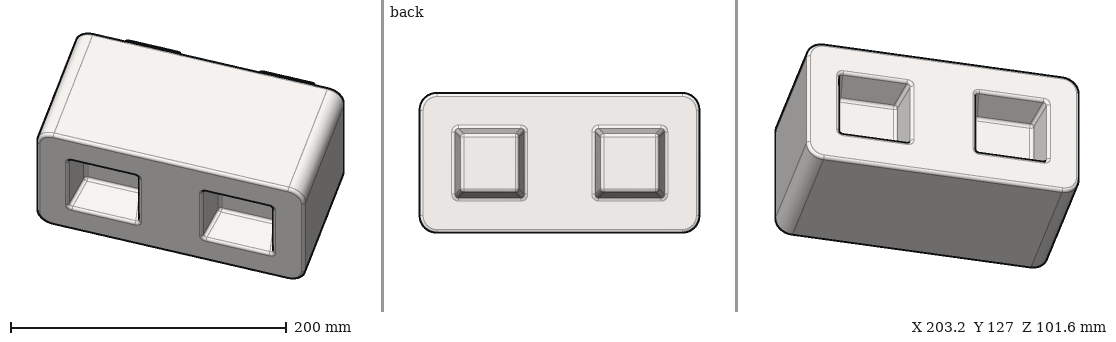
import cadquery as cq
import math

INCH = 25.4

body_width = 8 * INCH
body_depth = 4 * INCH
body_height = 4 * INCH
body_corner_radius = INCH / 2
edge_radius = INCH / 10

stud_pitch = 4 * INCH
stud_base_size = 2 * INCH
stud_length = INCH
draft_angle = 10

clearance = INCH / 20
pocket_depth = stud_length + clearance
pocket_mouth_size = stud_base_size + 2 * clearance / math.cos(math.radians(draft_angle))

stud_centers = [-stud_pitch / 2, stud_pitch / 2]


def make_body():
    """Rounded block with its front face on the XZ plane, extending toward +Y."""
    block = cq.Workplane("XY").box(
        body_width, body_depth, body_height, centered=(True, False, True)
    )
    block = block.edges("|Y").fillet(body_corner_radius)
    return block.faces("<Y or >Y").edges().fillet(edge_radius)


def make_tapered_peg(base_size, length, center_x, base_y):
    """Square peg narrowing toward +Y, with its corners and tip edges rounded."""
    base_plane = cq.Plane(origin=(center_x, base_y, 0), xDir=(-1, 0, 0), normal=(0, 1, 0))
    peg = cq.Workplane(base_plane).rect(base_size, base_size).extrude(length, taper=draft_angle)
    peg = peg.edges("not(#Y)").fillet(edge_radius)
    return peg.faces(">Y").edges().fillet(edge_radius)


def junction_edges(solid, face_y, size):
    """Edges in the plane y = face_y where a peg or pocket of the given size meets the body."""
    half_slab = edge_radius / 10
    selection = None
    for center_x in stud_centers:
        low = (center_x - size / 2 - edge_radius, face_y - half_slab, -size / 2 - edge_radius)
        high = (center_x + size / 2 + edge_radius, face_y + half_slab, size / 2 + edge_radius)
        box = cq.selectors.BoxSelector(low, high)
        selection = box if selection is None else selection + box
    return solid.edges(selection)


def add_studs(solid):
    """Join the studs to the back face and blend their roots."""
    for center_x in stud_centers:
        solid = solid.union(make_tapered_peg(stud_base_size, stud_length, center_x, body_depth))
    return junction_edges(solid, body_depth, stud_base_size).fillet(edge_radius)


def cut_pockets(solid):
    """Sink the pockets into the front face and round their rims."""
    for center_x in stud_centers:
        solid = solid.cut(make_tapered_peg(pocket_mouth_size, pocket_depth, center_x, 0))
    return junction_edges(solid, 0, pocket_mouth_size).fillet(edge_radius)


result = cut_pockets(add_studs(make_body()))